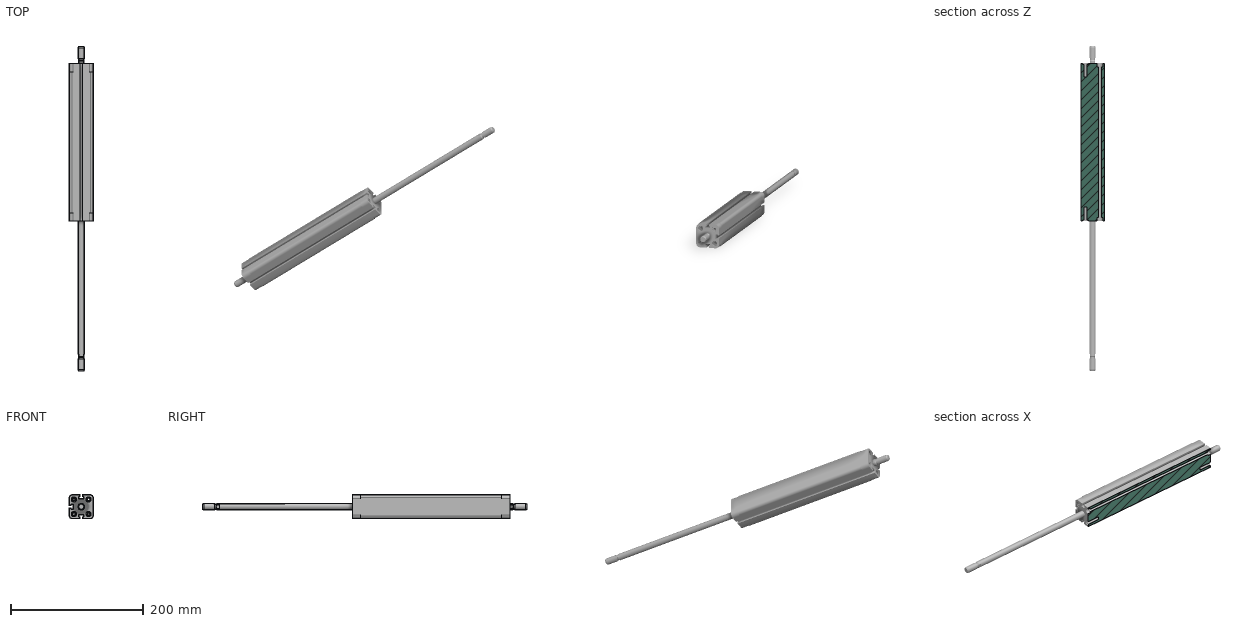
import cadquery as cq

total_length = 491
body_width = 36.5
body_length = 238.5
front_cap_length = 12.5
rear_cap_length = 13.5
barrel_corner_radius = 4.5
cap_corner_radius = 6.0

slot_mouth_width = 4.5
slot_inner_width = 7.5
slot_lip_depth = 3.0
slot_depth = 6.0
slot_angles = (0, 180, -90)

hole_pitch = 22.0
hole_diameter = 4.1
counterbore_diameter = 8.0
counterbore_depth = 5.0
screw_recess_depth = 1.0
socket_depth = 19.5

rod_diameter = 10.0
front_reach = 227.0
stud_length = 18.0
core_diameter = 8.0
stud_chamfer_length = 2.0
shoulder_chamfer_length = 1.5
neck_length = 2.5
flat_length = 5.0
across_flats = 8.0

rear_reach = total_length - body_length - front_reach
rod_front = -front_reach
rod_rear = body_length + rear_reach


def square_bar(y_start, length, corner_radius):
    """Square bar with rounded long edges, from y_start toward +Y."""
    return (
        cq.Workplane("XZ", origin=(0, y_start, 0))
        .rect(body_width, body_width)
        .extrude(-length)
        .edges("|Y")
        .fillet(corner_radius)
    )


def slot_cutter(angle):
    """T-slot for the top face, turned by angle about Y."""
    face = body_width / 2
    mouth = slot_mouth_width / 2
    inner = slot_inner_width / 2
    right_half = [
        (mouth, face),
        (mouth, face - slot_lip_depth),
        (inner, face - slot_lip_depth),
        (inner, face - slot_depth),
    ]
    left_half = [(-x, z) for x, z in reversed(right_half)]
    slot = cq.Workplane("XZ").polyline(right_half + left_half).close().extrude(-body_length)
    return slot.rotate((0, 0, 0), (0, 1, 0), angle)


def hole_cutter(x, y, z, inward, recess_depth, bore_depth):
    """Counterbored hole from an end face at y; inward is +1 or -1 along Y."""
    start = cq.Workplane("XZ", origin=(x, y, z))
    recess = start.circle(counterbore_diameter / 2).extrude(-inward * recess_depth)
    bore = start.circle(hole_diameter / 2).extrude(-inward * bore_depth)
    return recess.union(bore)


def make_body():
    """Barrel between two end caps, with T-slots and corner holes."""
    rear_cap_start = body_length - rear_cap_length
    body = square_bar(front_cap_length, rear_cap_start - front_cap_length, barrel_corner_radius)
    body = body.union(square_bar(0, front_cap_length, cap_corner_radius))
    body = body.union(square_bar(rear_cap_start, rear_cap_length, cap_corner_radius))
    for angle in slot_angles:
        body = body.cut(slot_cutter(angle))

    offset = hole_pitch / 2
    for y, inward in ((0, 1), (body_length, -1)):
        for side in (-1, 1):
            x = side * offset
            open_hole = hole_cutter(x, y, x, inward, counterbore_depth, body_length)
            screw_hole = hole_cutter(x, y, -x, inward, screw_recess_depth, screw_recess_depth + socket_depth)
            body = body.cut(open_hole).cut(screw_hole)
    return body


def stud_outline(end, inward):
    """Half profile (radius, y) of a chamfered stud and its neck, from the tip inward."""
    rod_radius = rod_diameter / 2
    core_radius = core_diameter / 2
    neck_start = stud_length
    neck_end = neck_start + neck_length
    stations = [
        (0, 0),
        (core_radius, 0),
        (rod_radius, stud_chamfer_length),
        (rod_radius, neck_start),
        (core_radius, neck_start),
        (core_radius, neck_end),
        (rod_radius, neck_end + shoulder_chamfer_length),
    ]
    return [(radius, end + inward * distance) for radius, distance in stations]


def make_rod():
    """Rod running through the body, with a pair of wrench flats behind each neck."""
    outline = stud_outline(rod_front, 1) + stud_outline(rod_rear, -1)[::-1]
    rod = cq.Workplane("XY").polyline(outline).close().revolve(360, (0, 0, 0), (0, 1, 0))

    flat_middle = stud_length + neck_length + flat_length / 2
    flat_block = cq.Workplane("XY").box(rod_diameter, flat_length, rod_diameter)
    block_offset = (across_flats + rod_diameter) / 2
    for y in (rod_front + flat_middle, rod_rear - flat_middle):
        for side in (-1, 1):
            rod = rod.cut(flat_block.translate((side * block_offset, y, 0)))
    return rod


result = make_body().union(make_rod())